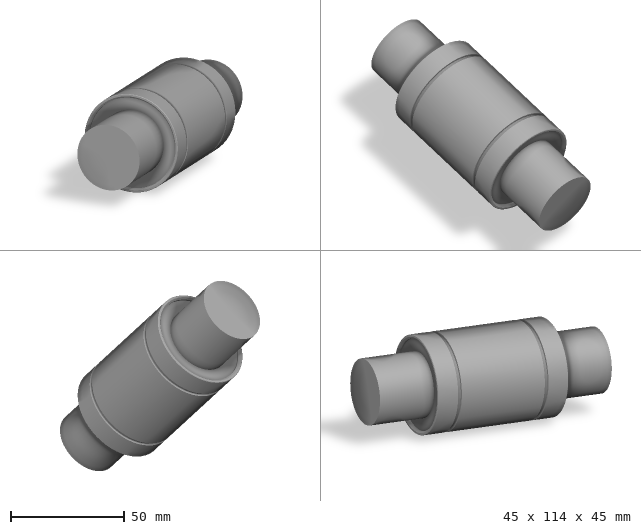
import cadquery as cq

shaft_length = 114.0
shaft_diameter = 30.0

sleeve_length = 64.1
sleeve_diameter = 45.0
edge_chamfer = 0.2

groove_diameter = 43.0
groove_width = 1.8
groove_centre = 21.3

recess_diameter = 41.4
recess_mouth_diameter = 43.0
recess_depth = 1.6
recess_chamfer = (recess_mouth_diameter - recess_diameter) / 2


def cylinder(diameter, length, centre_y=0.0):
    """Solid cylinder along Y, centred at centre_y."""
    start = cq.Workplane("XZ", origin=(0, centre_y + length / 2, 0))
    return start.circle(diameter / 2).extrude(length)


def groove_ring(side):
    """Ring of material to cut for the groove on one side of the middle."""
    centre_y = side * groove_centre
    outer = cylinder(sleeve_diameter, groove_width, centre_y)
    return outer.cut(cylinder(groove_diameter, groove_width, centre_y))


def seal_recess(side):
    """Blind round recess cutting into one end face of the sleeve."""
    centre_y = side * (sleeve_length - recess_depth) / 2
    return cylinder(recess_diameter, recess_depth, centre_y)


sleeve = cylinder(sleeve_diameter, sleeve_length).edges().chamfer(edge_chamfer)

for side in (-1, 1):
    sleeve = sleeve.cut(groove_ring(side)).cut(seal_recess(side))

end_face_edges = sleeve.faces("<Y or >Y").edges()
sleeve = end_face_edges.edges(cq.selectors.RadiusNthSelector(0)).chamfer(recess_chamfer)

result = sleeve.union(cylinder(shaft_diameter, shaft_length))